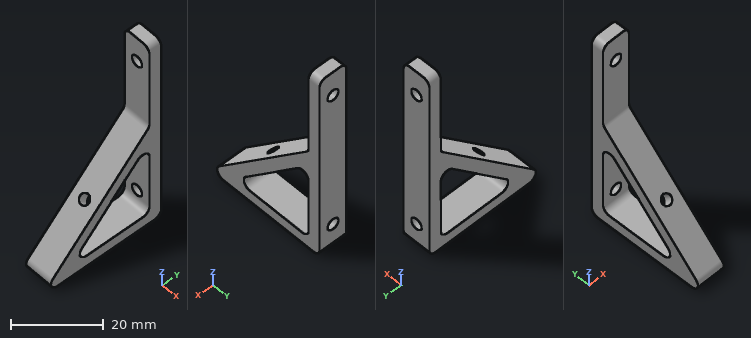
import cadquery as cq
import math

height = 57.0
depth = 32.15
width = 8.0
wall = 3.5
corner_radius = 2.0
mount_hole_diameter = 3.2
mount_hole_end_distance = 7.5
brace_hole_diameter = 2.8
brace_hole_height = 16.2

brace_outer_sum = depth - corner_radius + corner_radius * math.sqrt(2) + corner_radius
brace_inner_sum = brace_outer_sum - wall * math.sqrt(2)


def extrude_profile(points):
    """Extrude a side profile of (front distance, height) points across the width."""
    profile = [(-front, up) for front, up in points]
    return cq.Workplane("YZ").polyline(profile).close().extrude(width / 2, both=True)


def make_bracket():
    """Upright arm with a triangular foot, rounded at its corners."""
    outline = [
        (0, 0),
        (brace_outer_sum, 0),
        (wall, brace_outer_sum - wall),
        (wall, height),
        (0, height),
    ]
    body = extrude_profile(outline)
    body = body.edges("|X and (not >Z)").fillet(corner_radius)
    return body.faces(">Z").edges("|Y").fillet(corner_radius)


def make_window():
    """Rounded triangular opening that leaves an equal wall on all three sides."""
    outline = [
        (wall, wall),
        (brace_inner_sum - wall, wall),
        (wall, brace_inner_sum - wall),
    ]
    return extrude_profile(outline).edges("|X").fillet(corner_radius)


def make_mount_hole(hole_height):
    """Horizontal hole through the upright arm."""
    return cq.Workplane(
        cq.Solid.makeCylinder(
            mount_hole_diameter / 2, wall, cq.Vector(0, 0, hole_height), cq.Vector(0, -1, 0)
        )
    )


def make_brace_hole():
    """Hole square to the brace, ending in the window."""
    front = brace_outer_sum - brace_hole_height
    start = cq.Vector(0, -front, brace_hole_height)
    inward = cq.Vector(0, 1, -1)
    hole_length = 1.5 * wall
    return cq.Workplane(cq.Solid.makeCylinder(brace_hole_diameter / 2, hole_length, start, inward))


result = make_bracket().cut(make_window()).cut(make_brace_hole())
for hole_height in (mount_hole_end_distance, height - mount_hole_end_distance):
    result = result.cut(make_mount_hole(hole_height))